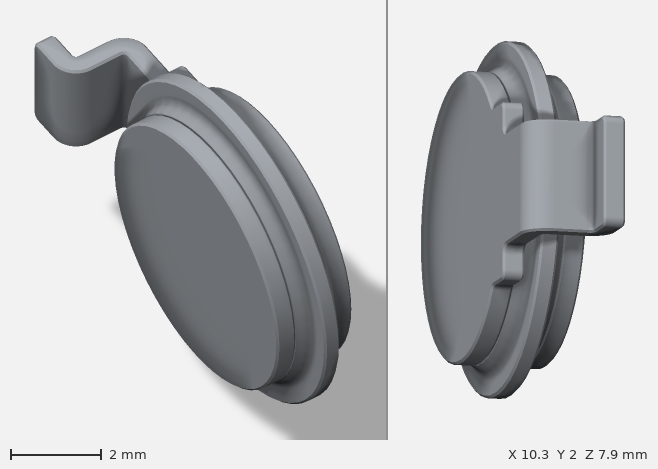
import cadquery as cq
import math


total_length = 10.35
total_depth = 2.0
flange_diameter = 7.9
cap_diameter = 6.5
sheet_thickness = 0.5
edge_chamfer = 0.05

flange_thickness = 0.4
collar_angle = 30.0
collar_fillet = 0.2

strip_width = 2.5
shoulder_width = 4.0
shoulder_start = 2.9
riser_start = 0.9
inner_bend_radius = 0.1
corner_radius = 0.2

flange_radius = flange_diameter / 2
cap_radius = cap_diameter / 2
strip_end_x = flange_radius - total_length
riser_left_x = strip_end_x + riser_start
riser_right_x = riser_left_x + sheet_thickness
shoulder_x = strip_end_x + shoulder_start
outer_bend_radius = inner_bend_radius + sheet_thickness
terminal_front_y = total_depth - sheet_thickness
flange_front_y = (total_depth - flange_thickness) / 2
flange_back_y = flange_front_y + flange_thickness
collar_height = flange_front_y - sheet_thickness
collar_base_radius = cap_radius + collar_height * math.tan(math.radians(collar_angle))


def disc(radius, front_y, thickness):
    """A plain round disc on the stack axis, from front_y towards +Y."""
    return cq.Workplane("XZ", origin=(0, front_y, 0)).circle(radius).extrude(-thickness)


def make_front_cap():
    """A round plate with both rims chamfered."""
    return disc(cap_radius, 0, sheet_thickness).edges("%CIRCLE").chamfer(edge_chamfer)


def make_core():
    """The flange and its two collars, turned about the stack axis."""
    half_profile = [
        (0, sheet_thickness),
        (cap_radius, sheet_thickness),
        (collar_base_radius, flange_front_y),
        (flange_radius, flange_front_y),
        (flange_radius, flange_back_y),
        (collar_base_radius, flange_back_y),
        (cap_radius, terminal_front_y),
        (0, terminal_front_y),
    ]
    core = cq.Workplane("XY").polyline(half_profile).close().revolve(axisStart=(0, 0), axisEnd=(0, 1))
    core = core.edges(cq.selectors.RadiusNthSelector(-1)).chamfer(edge_chamfer)
    return core.edges(cq.selectors.RadiusNthSelector(1)).fillet(collar_fillet)


def edges_at(x, y):
    """Selects the edges along Z at one corner of the bent strip."""
    reach = inner_bend_radius / 2
    return cq.selectors.BoxSelector(
        (x - reach, y - reach, -strip_width), (x + reach, y + reach, strip_width)
    )


def make_strip():
    """The bent strip: end foot at the front, riser along Y, and run to the disc at the back."""
    outline = [
        (strip_end_x, 0),
        (riser_right_x, 0),
        (riser_right_x, terminal_front_y),
        (0, terminal_front_y),
        (0, total_depth),
        (riser_left_x, total_depth),
        (riser_left_x, sheet_thickness),
        (strip_end_x, sheet_thickness),
    ]
    strip = cq.Workplane("XY").polyline(outline).close().extrude(strip_width / 2, both=True)
    bends = [
        (riser_right_x, 0, outer_bend_radius),
        (riser_right_x, terminal_front_y, inner_bend_radius),
        (riser_left_x, total_depth, outer_bend_radius),
        (riser_left_x, sheet_thickness, inner_bend_radius),
    ]
    for x, y, radius in bends:
        strip = strip.edges(edges_at(x, y)).fillet(radius)
    return strip.faces("<X").edges("|Y").fillet(corner_radius)


def make_terminal():
    """The back disc with its shoulder and bent strip, all of one sheet."""
    shoulder = cq.Workplane("XY").box(
        -shoulder_x, sheet_thickness, shoulder_width, centered=(False, False, True)
    ).translate((shoulder_x, terminal_front_y, 0))
    back_disc = disc(cap_radius, terminal_front_y, sheet_thickness)
    terminal = make_strip().union(shoulder).union(back_disc)
    shoulder_region = cq.selectors.BoxSelector(
        (riser_right_x, terminal_front_y, -cap_radius), (0, total_depth, cap_radius)
    )
    terminal = terminal.edges("|Y").edges(shoulder_region).fillet(corner_radius)
    return terminal.faces("<X").edges("|Z").chamfer(edge_chamfer)


front_cap = make_front_cap()
core = make_core()
terminal = make_terminal()

result = cq.Compound.makeCompound([front_cap.val(), core.val(), terminal.val()])